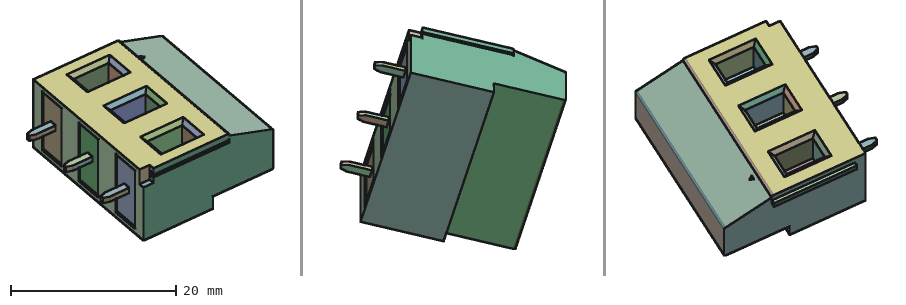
import cadquery as cq

poles = 3
pitch = 7.5
width = poles * pitch
depth = 19.5
height = 10.5
flange_depth = 1.5

step_y = 12.95
step_drop = 0.35
back_drop = 2.45
foot_depth = 10.45
foot_height = 1.9
edge_radius = 0.3

window_width = 4.2
window_length = 6.45
window_center_y = 7.05
window_bevel = 0.6
bevel_depth = 0.6
window_depth = 5.0

panel_width = 4.0
panel_height = 9.0
panel_depth = 0.25

pin_width = 1.0
pin_thickness = 0.8
pin_length = 3.5
pin_center_z = 5.6
pin_tip_length = 0.85
pin_tip_width = 0.45

dovetail_depth = 0.6
dovetail_wide = 0.8
dovetail_narrow = 0.4
dovetail_drop = 1.2
dovetail_center_z = height - dovetail_drop
notch_width = 0.8
notch_height = 2.25

mark_width = 0.55
mark_length = 0.5
mark_base_y = 13.5
mark_depth = 0.1

pole_centers = [(i + 0.5) * pitch for i in range(poles)]


def make_housing():
    profile = [
        (0, 0),
        (foot_depth, 0),
        (foot_depth, foot_height),
        (depth, foot_height),
        (depth, height - back_drop),
        (step_y, height - step_drop),
        (step_y, height),
        (0, height),
    ]
    rounded_corners = [
        (depth, foot_height),
        (depth, height - back_drop),
        (step_y, height),
    ]
    housing = cq.Workplane("YZ").polyline(profile).close().extrude(width)
    for y, z in rounded_corners:
        corner = cq.selectors.NearestToPointSelector((width / 2, y, z))
        housing = housing.edges("|X").edges(corner).fillet(edge_radius)
    return housing


def make_window(x):
    inner_width = window_width - 2 * window_bevel
    inner_length = window_length - 2 * window_bevel
    top = cq.Workplane("XY", origin=(x, window_center_y, height))
    bevel = (
        top.rect(window_width, window_length)
        .workplane(offset=-bevel_depth)
        .rect(inner_width, inner_length)
        .loft(ruled=True)
    )
    shaft = top.rect(inner_width, inner_length).extrude(-window_depth)
    return bevel.union(shaft)


def make_panel(x):
    face = cq.Workplane("XZ", origin=(x, 0, height / 2))
    return face.rect(panel_width, panel_height).extrude(-panel_depth)


def make_pin(x):
    half_width = pin_width / 2
    half_tip = pin_tip_width / 2
    shoulder_y = pin_tip_length - pin_length
    outline = [
        (-half_width, panel_depth),
        (-half_width, shoulder_y),
        (-half_tip, -pin_length),
        (half_tip, -pin_length),
        (half_width, shoulder_y),
        (half_width, panel_depth),
    ]
    bottom = cq.Workplane("XY", origin=(x, 0, pin_center_z - pin_thickness / 2))
    return bottom.polyline(outline).close().extrude(pin_thickness)


def make_dovetail(root_x):
    """Bar that is narrow at root_x and widens toward -X."""
    outline = [
        (0, -dovetail_narrow / 2),
        (0, dovetail_narrow / 2),
        (-dovetail_depth, dovetail_wide / 2),
        (-dovetail_depth, -dovetail_wide / 2),
    ]
    start = cq.Workplane("XZ", origin=(root_x, flange_depth, dovetail_center_z))
    return start.polyline(outline).close().extrude(flange_depth - step_y)


def make_notch():
    """Clears the flange corner so a neighbour's rail can slide in along Y."""
    corner = (width - notch_width, 0, height - notch_height)
    return cq.Workplane("XY", origin=corner).box(
        notch_width, flange_depth, notch_height, centered=False
    )


def make_mark(x):
    slope = (back_drop - step_drop) / (depth - step_y)
    roof_z = height - step_drop - slope * (mark_base_y - step_y)
    roof = cq.Workplane(
        cq.Plane(origin=(x, mark_base_y, roof_z), xDir=(1, 0, 0), normal=(0, slope, 1))
    )
    outline = [(-mark_width / 2, 0), (mark_width / 2, 0), (0, mark_length)]
    return roof.polyline(outline).close().extrude(-mark_depth)


result = make_housing()
for pole_x in pole_centers:
    result = result.cut(make_window(pole_x))
    result = result.cut(make_panel(pole_x))
    result = result.union(make_pin(pole_x))
result = result.union(make_dovetail(0))
result = result.cut(make_dovetail(width))
result = result.cut(make_notch())
result = result.cut(make_mark(pole_centers[0]))